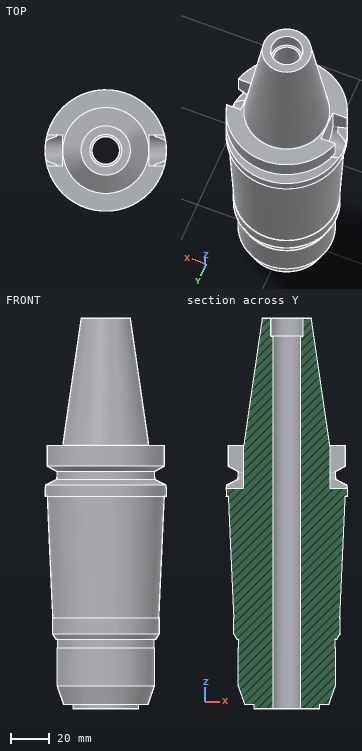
import cadquery as cq

total_height = 202.5
taper_tip_radius = 12.8
taper_base_radius = 22.3
taper_base_z = 137.0
flange_radius = 31.47
flange_top_z = 136.5
flange_bottom_z = 110.1

groove_floor_radius = 26.5
groove_top_z = 125.7
groove_bottom_z = 116.0
groove_flank_height = 2.8

body_top_radius = 30.4
body_bottom_radius = 27.5
body_bottom_z = 47.0
collar_radius = 27.7
collar_bottom_z = 38.9
collar_chamfer_radius = 26.0
neck_radius = 25.0
neck_top_z = 36.0
nut_radius = 25.3
nut_top_z = 31.5
nut_cone_top_z = 12.0
nut_cone_tip_radius = 21.9
nose_radius = 17.0
nose_height = 2.2

bore_radius = 7.0
mouth_radius = 8.3
mouth_depth = 9.3

slot_width = 16.2
slot_floor_x = 22.5
slot_bottom_z = 114.4


def turned_body():
    """Solid of revolution about Z, from the nose up to the taper tip."""
    outline = [
        (0, 0),
        (nose_radius, 0),
        (nose_radius, nose_height),
        (nut_cone_tip_radius, nose_height),
        (nut_radius, nut_cone_top_z),
        (nut_radius, nut_top_z),
        (neck_radius, nut_top_z),
        (neck_radius, neck_top_z),
        (collar_chamfer_radius, neck_top_z),
        (collar_radius, collar_bottom_z),
        (collar_radius, body_bottom_z),
        (body_bottom_radius, body_bottom_z),
        (body_top_radius, flange_bottom_z),
        (flange_radius, flange_bottom_z),
        (flange_radius, groove_bottom_z),
        (groove_floor_radius, groove_bottom_z + groove_flank_height),
        (groove_floor_radius, groove_top_z - groove_flank_height),
        (flange_radius, groove_top_z),
        (flange_radius, flange_top_z),
        (taper_base_radius, flange_top_z),
        (taper_base_radius, taper_base_z),
        (taper_tip_radius, total_height),
        (0, total_height),
    ]
    return cq.Workplane("XZ").polyline(outline).close().revolve(360, (0, 0), (0, 1))


def stepped_bore():
    """Through bore and the wider mouth at the top."""
    bore = cq.Workplane("XY").circle(bore_radius).extrude(total_height)
    mouth = (
        cq.Workplane("XY", origin=(0, 0, total_height - mouth_depth))
        .circle(mouth_radius)
        .extrude(mouth_depth)
    )
    return bore.union(mouth)


def drive_slot(side):
    """Round-bottomed slot, open at the flange top; side is -1 or +1 along X."""
    half_width = slot_width / 2
    arc_center_z = slot_bottom_z + half_width
    return (
        cq.Workplane("YZ", origin=(side * slot_floor_x, 0, 0))
        .moveTo(-half_width, flange_top_z)
        .lineTo(-half_width, arc_center_z)
        .threePointArc((0, slot_bottom_z), (half_width, arc_center_z))
        .lineTo(half_width, flange_top_z)
        .close()
        .extrude(side * flange_radius)
    )


result = turned_body().cut(stepped_bore())
for slot_side in (-1, 1):
    result = result.cut(drive_slot(slot_side))